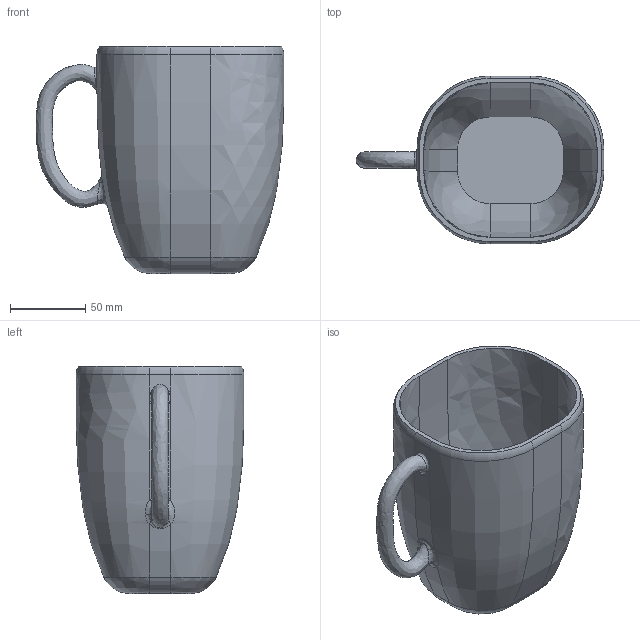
import cadquery as cq
import math

core_x = 27.0
core_y = 14.4
height = 150.78
body_half_y = 111.48 / 2
max_reach = body_half_y - core_y / 2

wall_top_z = 145.2
wall_mid_z = 65.0
wall_mid_reach = 45.3
wall_foot_z = 10.9
wall_foot_reach = 30.1
wall_foot_lean = math.radians(25.5)
foot_arc_radius = wall_foot_z / (1 - math.sin(wall_foot_lean))

wall_thickness = 4.4
rim_round_width = 1.5
rim_round_height = height - wall_top_z
floor_z = 4.4
floor_reach = 21.6

handle_radius = 5.5
body_half_x = core_x / 2 + max_reach
handle_left_x = body_half_x - 164.5 + handle_radius
handle_left_z = 96.5
handle_crown = (-76.3, 133.0)
handle_shoulder = (-92.7, 121.3)
handle_heel = (-91.8, 67.4)
handle_belly = (-75.0, 50.0)
handle_upper_end = (-57.5, 124.0)
handle_lower_end = (-53.0, 63.5)
upper_blend_radius = 1.3
lower_blend_radius = 4.7


def outer_profile():
    """Half section from the core edge (0) outwards."""
    foot_arc_start = wall_foot_reach - foot_arc_radius * math.cos(wall_foot_lean)
    arc_mid_angle = (math.pi / 2 - wall_foot_lean) / 2
    foot_arc_mid = (
        foot_arc_start + foot_arc_radius * math.sin(arc_mid_angle),
        foot_arc_radius * (1 - math.cos(arc_mid_angle)),
    )
    foot_tangent = (math.sin(wall_foot_lean), math.cos(wall_foot_lean))
    rim_arc_radius = (rim_round_width**2 + rim_round_height**2) / (2 * rim_round_width)
    return (
        cq.Workplane("XZ")
        .lineTo(foot_arc_start, 0)
        .threePointArc(foot_arc_mid, (wall_foot_reach, wall_foot_z))
        .spline(
            [(wall_mid_reach, wall_mid_z), (max_reach, wall_top_z)],
            tangents=[foot_tangent, (0, 1)],
            includeCurrent=True,
        )
        .radiusArc((max_reach - rim_round_width, height), -rim_arc_radius)
        .lineTo(0, height)
        .close()
    )


def inner_profile():
    """Half section of the cavity, from the core edge (0) outwards."""
    foot_tangent = (math.sin(wall_foot_lean), math.cos(wall_foot_lean))
    inner_reach = max_reach - wall_thickness
    return (
        cq.Workplane("XZ")
        .moveTo(0, floor_z)
        .lineTo(floor_reach, floor_z)
        .spline(
            [(wall_mid_reach - wall_thickness, wall_mid_z), (inner_reach, height)],
            tangents=[foot_tangent, (0, 1)],
            includeCurrent=True,
        )
        .lineTo(0, height)
        .close()
    )


def around_core(profile, bottom_z):
    """Carry a half section around the rectangular core."""
    corner = profile().revolve(90, (0, 0, 0), (0, 1, 0)).translate((core_x / 2, core_y / 2, 0))
    end = profile().extrude(core_y).translate((core_x / 2, core_y / 2, 0))
    side = profile().extrude(core_x)
    side = side.rotate((0, 0, 0), (0, 0, 1), 90).translate((-core_x / 2, core_y / 2, 0))
    core = cq.Workplane("XY", origin=(0, 0, bottom_z)).box(
        core_x, core_y, height - bottom_z, centered=(True, True, False)
    )
    flank = corner.union(side).union(corner.mirror("YZ"))
    ring = flank.union(end).union(end.mirror("YZ")).union(flank.mirror("XZ"))
    return ring.union(core)


def handle():
    """Round bar swept along its centreline, with both ends inside the wall."""
    path = (
        cq.Workplane("XZ")
        .moveTo(*handle_upper_end)
        .spline(
            [
                handle_crown,
                handle_shoulder,
                (handle_left_x, handle_left_z),
                handle_heel,
                handle_belly,
                handle_lower_end,
            ],
            includeCurrent=True,
        )
    )
    start = path.val().startPoint()
    tangent = path.val().tangentAt(0)
    section = cq.Plane(origin=start.toTuple(), xDir=(0, 1, 0), normal=tangent.toTuple())
    return cq.Workplane(section).circle(handle_radius).sweep(path)


def joint(end):
    """Selector for the edge where the bar meets the wall near one of its ends."""
    x, z = end
    reach = 2 * handle_radius
    return cq.selectors.BoxSelector(
        (x - reach, -handle_radius, z - reach), (x + reach, handle_radius, z + reach)
    )


body = around_core(outer_profile, 0).union(handle())
body = body.edges(joint(handle_upper_end)).fillet(upper_blend_radius)
body = body.edges(joint(handle_lower_end)).fillet(lower_blend_radius)
result = body.cut(around_core(inner_profile, floor_z))